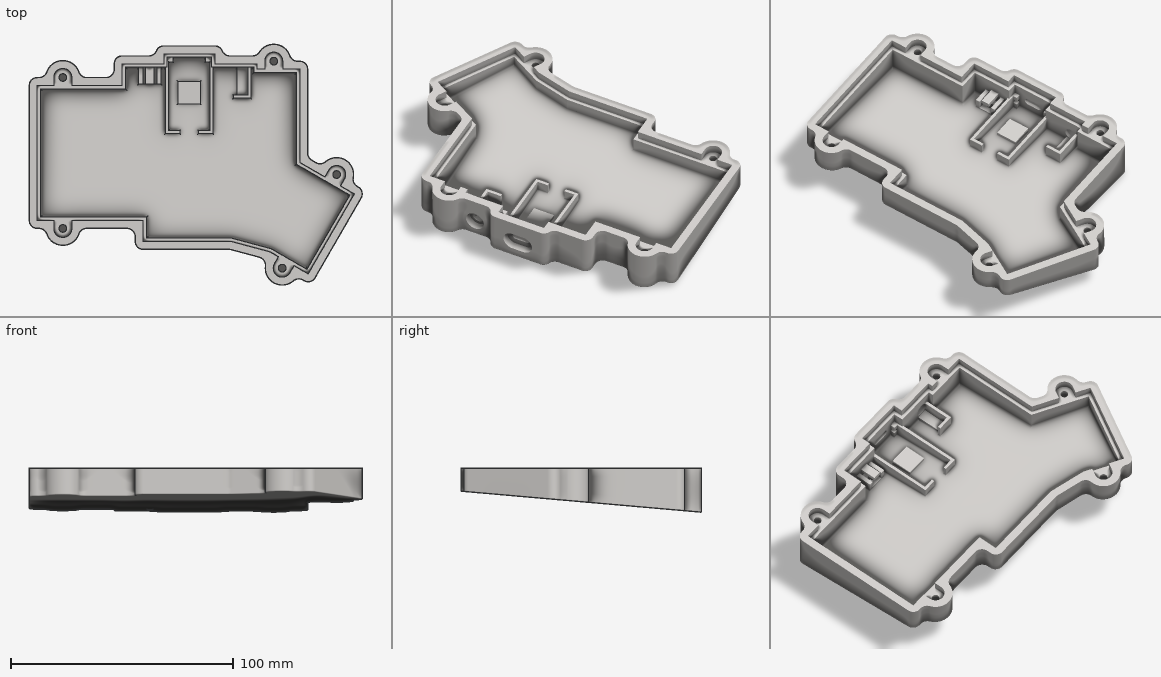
import cadquery as cq
import math


wall = 3.6
concave_radius = 3.7
recess_depth = 4.0
ledge_width = 1.5
rear_height = 20.0
slope = math.tan(math.radians(5))
floor_thickness = 2.0
floor_fillet = 0.9
foot_fillet = 0.5
bottom_fillet = 0.5
tolerance = 0.0001
overshoot = 45.0

left_back_y = 60.7
step_x = 38.2
back_y = 70.5
bump_left_x = 57.0
bump_right_x = 80.0
bump_y = 75.0
right_step_x = 99.0
right_back_y = 68.1
right_x = 118.2
wing_root_y = 26.1
front_step_x = 47.7
front_y = -9.5
wing_angle = 30.0
wing_back_length = 28.3
wing_end_length = 41.5
wing_front_length = 19.8
bend_angle = 15.0

screw_slot_radius = 4.0
screw_offset = wall
screw_diameter = 3.5
screw_depth = 6.0
left_screw_x = 11.5
right_screw_x = 106.5
wing_back_screw = 17.1
wing_front_screw = 8.4

rib = 1.3
rib_top = -9.6
board_top = -12.0
board_bottom = -14.0
pocket_x = 68.4
pocket_width = 18.6
pocket_front_y = 40.5
pocket_gap = 8.4
tab_width = 2.0
tab_length = 2.1
pad_size = 10.0
pad_front_y = 52.5

port_width = 9.0
port_height = 3.5
port_z = -11.2
port_relief = 2.7

jack_left_x = 89.8
jack_width = 5.0
jack_front_y = 56.4
jack_lip = 1.5
jack_shelf_top = -15.0
jack_diameter = 6.0
jack_relief_diameter = 9.0
jack_z = -11.8

switch_x = 50.7
switch_width = 10.2
switch_front_y = 61.3
post_width = 2.0
post_top = -11.5
sill_top = -15.7
clip_width = 3.9
clip_top = -9.9
clip_bottom = -11.7
reset_diameter = 2.7

rear_y = right_back_y + screw_offset + screw_slot_radius + wall
cavity_back_y = back_y - ledge_width
cavity_bump_y = bump_y - ledge_width


def step(point, length, angle):
    """The point at a distance from another, in a direction in degrees."""
    direction = math.radians(angle)
    return (point[0] + length * math.cos(direction), point[1] + length * math.sin(direction))


wing_root = (right_x, wing_root_y)
wing_tip = step(wing_root, wing_back_length, -wing_angle)
wing_front = step(wing_tip, wing_end_length, -90 - wing_angle)
wing_bend = step(wing_front, wing_front_length, 180 - wing_angle)
bend_length = (front_y - wing_bend[1]) / math.sin(math.radians(bend_angle))
front_bend = step(wing_bend, bend_length, 180 - bend_angle)

recess_corners = [
    (0, 0),
    (0, left_back_y),
    (step_x, left_back_y),
    (step_x, back_y),
    (bump_left_x, back_y),
    (bump_left_x, bump_y),
    (bump_right_x, bump_y),
    (bump_right_x, back_y),
    (right_step_x, back_y),
    (right_step_x, right_back_y),
    (right_x, right_back_y),
    wing_root,
    wing_tip,
    wing_front,
    wing_bend,
    front_bend,
    (front_step_x, front_y),
    (front_step_x, 0),
]

screw_feet = [
    ((left_screw_x, left_back_y), 90),
    ((right_screw_x, right_back_y), 90),
    (step(wing_root, wing_back_screw, -wing_angle), 90 - wing_angle),
    (step(wing_bend, wing_front_screw, -wing_angle), -90 - wing_angle),
    ((left_screw_x, 0), -90),
]
screw_axes = [step(foot, screw_offset, outward) for foot, outward in screw_feet]


def block(x_range, y_range, z_range):
    sizes = [high - low for low, high in (x_range, y_range, z_range)]
    return cq.Workplane("XY").box(*sizes, centered=False).translate((x_range[0], y_range[0], z_range[0]))


def floor_z(y):
    return floor_thickness - rear_height + (rear_y - y) * slope


def above_slope(lift):
    """A wedge below Z = 0, over the sloping bottom raised by lift."""
    y_back = rear_y + overshoot
    y_front = wing_front[1] - overshoot
    drop = lift - floor_thickness
    profile = [
        (y_back, 0),
        (y_back, floor_z(y_back) + drop),
        (y_front, floor_z(y_front) + drop),
        (y_front, 0),
    ]
    width = wing_tip[0] + 2 * overshoot
    return cq.Workplane("YZ", origin=(-overshoot, 0, 0)).polyline(profile).close().extrude(width)


def recess_body():
    body = cq.Workplane("XY").polyline(recess_corners).close().extrude(-recess_depth)
    inward = -screw_offset - ledge_width / 2
    for (x, y), (_, outward) in zip(screw_axes, screw_feet):
        slot = cq.Workplane("XY").circle(screw_slot_radius).extrude(-recess_depth)
        slot = slot.union(
            block((inward, 0), (-screw_slot_radius, screw_slot_radius), (-recess_depth, 0))
        )
        body = body.union(slot.rotate((0, 0, 0), (0, 0, 1), outward).translate((x, y, 0)))
    return body.clean()


def outer_body(recess):
    contour = recess.faces(">Z").wires().toPending()
    contour = contour.offset2D(wall + concave_radius).offset2D(-concave_radius)
    body = contour.extrude(-rear_height - overshoot).intersect(above_slope(0))
    return body.faces("<Z").edges().fillet(bottom_fillet)


def cavity_body():
    contour = cq.Workplane("XY").polyline(recess_corners).close().offset2D(-ledge_width, "intersection")
    body = contour.extrude(-rear_height - overshoot).intersect(above_slope(floor_thickness))
    return body.faces("<Z").edges().fillet(floor_fillet)


def board_pocket():
    back = (pocket_front_y - rib, bump_y)
    front = (pocket_front_y - rib, pocket_front_y)
    tab_back = (cavity_bump_y - tab_length, bump_y)
    pad = block(
        (pocket_x - pad_size / 2, pocket_x + pad_size / 2),
        (pad_front_y, pad_front_y + pad_size),
        (-rear_height, board_bottom),
    )
    outside = pocket_width / 2 + rib
    inside = pocket_width / 2
    half = block((inside, outside), back, (-rear_height, rib_top))
    half = half.union(block((pocket_gap / 2, outside), front, (-rear_height, rib_top)))
    for z_range in [(-rear_height, board_bottom), (board_top, rib_top)]:
        half = half.union(block((inside - tab_width, outside), tab_back, z_range))
    sides = half.union(half.mirror("YZ")).translate((pocket_x, 0, 0))
    return sides.union(pad)


def jack_holder():
    right = jack_left_x + jack_width
    side = block((right, right + rib), (jack_front_y - rib, back_y), (-rear_height, rib_top))
    front = block((jack_left_x - jack_lip, right), (jack_front_y - rib, jack_front_y), (-rear_height, rib_top))
    shelf = block((jack_left_x, right), (jack_front_y, back_y), (-rear_height, jack_shelf_top))
    return side.union(front).union(shelf)


def switch_holder():
    depth = (switch_front_y, back_y)
    half = switch_width / 2
    holder = block((-half, half), depth, (-rear_height, sill_top))
    holder = holder.union(block((-half, post_width - half), depth, (-rear_height, post_top)))
    holder = holder.union(block((half - post_width, half), depth, (-rear_height, post_top)))
    holder = holder.union(block((-clip_width / 2, clip_width / 2), depth, (clip_bottom, clip_top)))
    return holder.translate((switch_x, 0, 0))


def on_floor(edge):
    ends = [edge.startPoint(), edge.endPoint()]
    return all(abs(end.z - floor_z(end.y)) < tolerance for end in ends)


def fittings():
    x_range = (left_screw_x, right_screw_x)
    y_range = (pocket_front_y - 3 * rib, bump_y + wall / 2)
    room = block(x_range, y_range, (-rear_height, 0)).intersect(above_slope(floor_thickness / 2))
    body = room.cut(above_slope(floor_thickness))
    body = body.union(board_pocket().union(jack_holder()).union(switch_holder()).intersect(room))
    edges = [edge for edge in body.edges().vals() if on_floor(edge)]
    floor_rim = [edge for edge in room.cut(above_slope(floor_thickness)).edges().vals() if on_floor(edge)]
    rim_centres = [edge.Center() for edge in floor_rim]
    feet = [e for e in edges if all((e.Center() - c).Length > tolerance for c in rim_centres)]
    return body.newObject(feet).fillet(foot_fillet)


def rear_opening(x, outer_y, z, throat, relief):
    """A throat through the shelf wall that widens to a relief in the rim wall."""
    face = cq.Workplane("XZ", origin=(x, outer_y, z))
    return throat(face).extrude(wall + 1.5 * ledge_width).union(relief(face).extrude(wall))


def port():
    return rear_opening(
        pocket_x,
        bump_y + wall,
        port_z,
        lambda face: face.slot2D(port_width, port_height),
        lambda face: face.slot2D(port_width + 2 * port_relief, port_height + 2 * port_relief),
    )


def jack():
    return rear_opening(
        jack_left_x + jack_width / 2,
        back_y + wall,
        jack_z,
        lambda face: face.circle(jack_diameter / 2),
        lambda face: face.circle(jack_relief_diameter / 2),
    )


def screw_holes():
    recess_floor = cq.Workplane("XY", origin=(0, 0, -recess_depth))
    return recess_floor.pushPoints(screw_axes).circle(screw_diameter / 2).extrude(-screw_depth)


def reset_hole():
    hole_y = (switch_front_y + cavity_back_y) / 2
    start = cq.Workplane("XY", origin=(switch_x, hole_y, clip_bottom))
    return start.circle(reset_diameter / 2).extrude(-rear_height)


recess = recess_body()
outer = outer_body(recess)
tray = outer.cut(recess).cut(cavity_body())
result = tray.union(fittings().intersect(outer))
for opening in (port(), jack(), screw_holes(), reset_hole()):
    result = result.cut(opening)